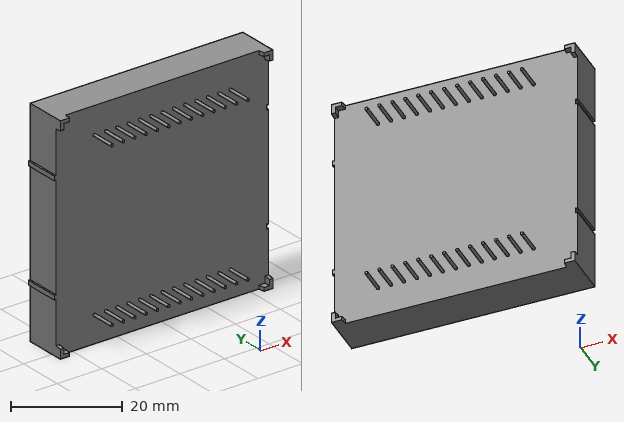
import cadquery as cq

side = 47.7
body_depth = 7.7
total_depth = 13.0

key_height = 0.95
key_depth = 0.4
key_offset = side / 4

foot_height = 1.3
foot_wall = 0.75
leg_root = 2.2
leg_tip = 2.0

pin_count = 13
pin_diameter = 0.6
pin_row_length = 30.5
pin_row_spacing = 36.0
pin_pitch = pin_row_length / (pin_count - 1)
pin_length = total_depth - body_depth

half_side = side / 2

body_center_x = key_depth / 2
left = body_center_x - half_side
right = body_center_x + half_side


def make_body():
    """Square block with the keying ribs and grooves along its full depth."""
    body = cq.Workplane("XY").box(side, body_depth, side).translate((body_center_x, body_depth / 2, 0))
    key = cq.Workplane("XY").box(key_depth, body_depth, key_height)
    for z in (-key_offset, key_offset):
        rib = key.translate((left - key_depth / 2, body_depth / 2, z))
        groove = key.translate((right - key_depth / 2, body_depth / 2, z))
        body = body.union(rib).cut(groove)
    return body


def make_leg():
    """One leg along +X, its end sloping outward toward the pin face."""
    outline = [(0, 0), (leg_root, 0), (leg_tip, -foot_height), (0, -foot_height)]
    return cq.Workplane("XY").polyline(outline).close().extrude(foot_wall)


def make_foot():
    """Corner foot with its outer corner at the origin and legs along +X and +Z."""
    leg = make_leg()
    upright_leg = leg.mirror("YZ").rotate((0, 0, 0), (0, 1, 0), 90)
    return leg.union(upright_leg)


def make_feet():
    """One foot in every corner of the pin face."""
    foot = make_foot().translate((-half_side, 0, -half_side))
    bottom = foot.union(foot.mirror("YZ"))
    return bottom.union(bottom.mirror("XY")).translate((body_center_x, 0, 0))


def make_pins():
    """Two straight rows of pins pointing toward -Y."""
    return (
        cq.Workplane("XZ", origin=(body_center_x, 0, 0))
        .rarray(pin_pitch, pin_row_spacing, pin_count, 2)
        .circle(pin_diameter / 2)
        .extrude(pin_length)
    )


result = make_body().union(make_feet()).union(make_pins())